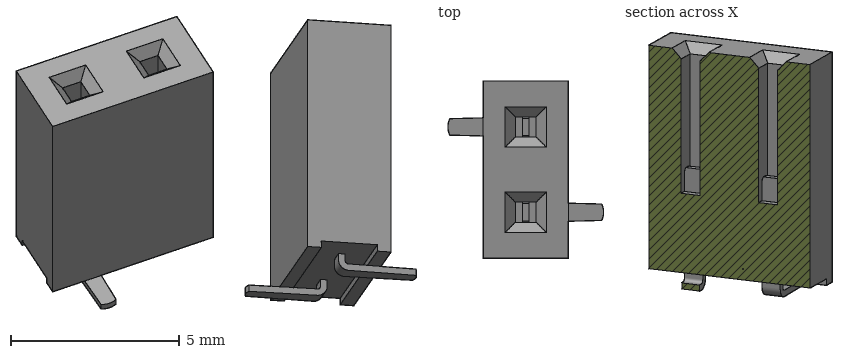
import cadquery as cq

HEIGHT = 7.4
BODY_X = 2.54
BODY_Y = 5.28
STANDOFF = 0.3
PITCH = 2.54

CHANNEL_WIDTH = 1.7
CHANNEL_TOP = 0.5

FUNNEL_X = 1.22
FUNNEL_Y = 1.2
HOLE_X = 0.62
HOLE_Y = 0.6
FUNNEL_DEPTH = 0.3
HOLE_DEPTH = 4.44

STRIP = 0.2
CONTACT_WIDTH = 0.6
TIP_WIDTH = 0.51
TIP_TAPER = 0.1
TIP_RISE = 0.74
BEND_INNER = 0.1
BEND_OUTER = BEND_INNER + STRIP
TAIL_SPAN = 4.64
TAIL_REACH = TAIL_SPAN / 2
TAIL_END_WIDTH = 0.495
TAIL_BULGE = 0.06

HOLE_FLOOR = HEIGHT - HOLE_DEPTH
TIP_TOP = HOLE_FLOOR + TIP_RISE


def make_body():
    """Housing block with the channel between its two feet."""
    block = cq.Workplane("XY").workplane(offset=STANDOFF).rect(BODY_X, BODY_Y).extrude(HEIGHT - STANDOFF)
    channel = cq.Workplane("XY").rect(CHANNEL_WIDTH, BODY_Y).extrude(CHANNEL_TOP)
    return block.cut(channel)


def make_socket(y):
    """Tapered lead-in followed by a straight blind hole."""
    funnel = (
        cq.Workplane("XY", origin=(0, y, HEIGHT))
        .rect(FUNNEL_X, FUNNEL_Y)
        .workplane(offset=-FUNNEL_DEPTH)
        .rect(HOLE_X, HOLE_Y)
        .loft(ruled=True)
    )
    hole = cq.Workplane("XY", origin=(0, y, HOLE_FLOOR)).rect(HOLE_X, HOLE_Y).extrude(HOLE_DEPTH)
    return funnel.union(hole)


def make_contact(y, side):
    """Upright strip bent toward +X (side = 1) or -X (side = -1)."""
    half = STRIP / 2
    bend_end = BEND_OUTER - half
    profile = (
        cq.Workplane("XZ")
        .moveTo(-half, TIP_TOP)
        .lineTo(-half, BEND_OUTER)
        .radiusArc((bend_end, 0), -BEND_OUTER)
        .lineTo(TAIL_REACH, 0)
        .lineTo(TAIL_REACH, STRIP)
        .lineTo(bend_end, STRIP)
        .radiusArc((half, BEND_OUTER), BEND_INNER)
        .lineTo(half, TIP_TOP)
        .close()
        .extrude(CONTACT_WIDTH / 2, both=True)
    )
    root = CONTACT_WIDTH / 2
    end = TAIL_END_WIDTH / 2
    plan = (
        cq.Workplane("XY")
        .moveTo(-half, -root)
        .lineTo(bend_end, -root)
        .lineTo(TAIL_REACH - TAIL_BULGE, -end)
        .threePointArc((TAIL_REACH, 0), (TAIL_REACH - TAIL_BULGE, end))
        .lineTo(bend_end, root)
        .lineTo(-half, root)
        .close()
        .extrude(TIP_TOP)
    )
    contact = profile.intersect(plan)
    contact = contact.faces(">Z").edges("|X").chamfer((CONTACT_WIDTH - TIP_WIDTH) / 2, TIP_TAPER)
    if side < 0:
        contact = contact.mirror("YZ")
    return contact.translate((0, y, 0))


result = make_body()
for side in (1, -1):
    contact_y = -side * PITCH / 2
    result = result.cut(make_socket(contact_y)).union(make_contact(contact_y, side))